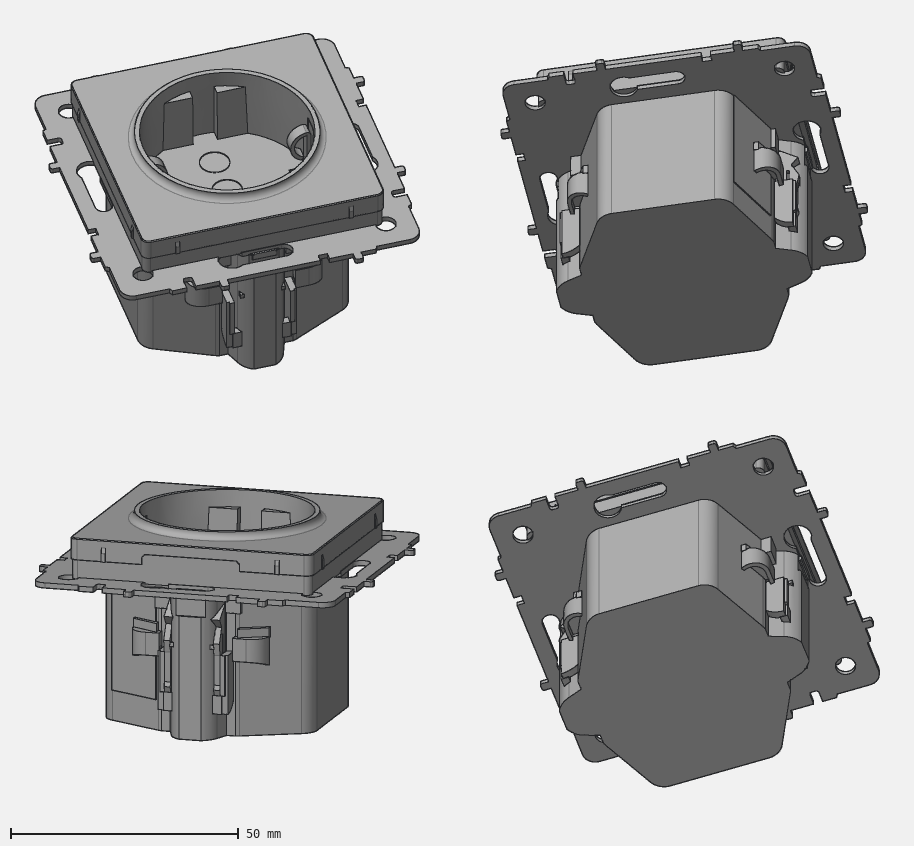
import cadquery as cq
import math

HOUSING_TOP = 33.55
PLATE_TOP = 34.75
SKIRT_TOP = 38.75
COVER_TOP = 43.7
TOTAL_HEIGHT = 45.45
FLOOR_LEVEL = 28.2
SHOULDER_LEVEL = 27.8
OVERLAP = 0.4

PLATE_SIZE = 74.4
TAB_REACH = PLATE_SIZE / 2
EDGE_REACH = 35.2
CORNER_REACH = 34.4
CORNER_RADIUS = 3.0
EDGE_HALF = 23.8
EDGE_BEVEL = 0.45
TAB_WIDTH = 1.85
TAB_ROUNDING = 0.5
NOTCH_WIDTH = 2.1
SHALLOW_NOTCH = 1.7
DEEP_NOTCH = 3.1
DEEP_NOTCH_ROUNDING = 0.6
INNER_STATION = 11.7
OUTER_STATION = 19.05
CORNER_HOLE_OFFSET = 27.9
CORNER_HOLE_DIAMETER = 4.5
SLOT_RADIUS = 1.9
SLOT_LINE = 29.6
SLOT_LEFT_END = -5.95
SLOT_HEAD_X = 7.8
SLOT_HEAD_Y = 29.0
SLOT_HEAD_RADIUS = 3.05

COVER_SIZE = 55.65
SKIRT_SIZE = 55.05
COVER_CORNER = 1.8
COVER_BEVEL = 0.2
FINGER_HALF = 11.2
FINGER_HEIGHT = 2.3
FINGER_BEVEL = 0.75
SNAP_OFFSET = 19.95
SNAP_WIDTH = 1.0
SNAP_REACH = 28.1
SNAP_SHOULDER = 40.7
SNAP_TOP = 41.9

RIM_BASE_RADIUS = 21.7
RIM_TOP_RADIUS = 20.4
WELL_RADIUS = 19.3
FLOOR_RADIUS = 19.05
GUIDE_FOOT = 16.4
GUIDE_CREST = 16.8
GUIDE_TOP = 41.6
GUIDE_GAP = 5.6
PIN_SPACING = 9.45
PIN_DIAMETER = 6.7
PIN_DEPTH = 0.2

CLIP_WINDOW_WIDTH = 4.3
CLIP_WINDOW_INNER = 14.9
CLIP_WINDOW_OUTER = 19.3
CLIP_WINDOW_TOP = 42.4
CLIP_WINDOW_DEPTH = 0.2
CLIP_WIDTH = 2.8
CLIP_THICKNESS = 0.9
CLIP_BACK = 18.8
CLIP_BEND_RADIUS = 1.05
CLIP_TOP = 41.5
CLIP_CREST = 14.1
CLIP_CREST_LEVEL = 37.6
CLIP_END_Y = 16.75
CLIP_END_LEVEL = 33.7

HOUSING_HALF_X = 28.1
HOUSING_HALF_Y = 24.1
NOSE_HALF = 2.5
NOSE_ROOT_X = 24.9
NOSE_ROOT_Y = 5.3
NOSE_MIDDLE = (26.8, 4.25)
FLANK_X = 21.4
FLANK_Y = 9.3
VALLEY_X = 21.7
VALLEY_START_Y = 6.5
VALLEY_END_Y = 8.5
FRONT_CORNER_X = 14.1
FRONT_CORNER_RADIUS = 4.25
RECESS_HALF = 3.4
RECESS_DEPTH = 0.6
LUG_WIDTH = 5.5
LUG_HEIGHT = 1.5
LUG_BEVEL = 0.3
PAD_THICKNESS = 0.2
PAD_BOTTOM = 6.85
PAD_START_Y = 9.8
PAD_END_Y = 21.8

POST_Y = (6.3, 9.8)
LEFT_POST_X = (-22.3, -20.8)
RIGHT_POST_X = (20.8, 23.5)
CLAW_X = (18.5, 23.8)
CLAW_Y = (8.4, 15.55)
CLAW_BEND_Y = 11.5
CLAW_WALL = 0.9
CLAW_HOLLOW_TOP = 19.35
CLAW_TOP = 22.55
CLAW_TIP_LEVEL = 15.8
CLAW_HEEL_LEVEL = 17.4
CLAW_BLOCK_TOP = 24.5
CLAW_BLOCK_START = (23.0, 9.3)
CLAW_BLOCK_END_X = 19.65
LEVER_X = (21.4, 25.8)
LEVER_Y = (6.4, 8.0)
LEVER_BOTTOM = 5.8
LEVER_TOP = 19.1
LEVER_HEEL_LEVEL = 8.3
LEVER_CURVE = (23.65, 6.4)
LEVER_FLANGE_X = 26.35
LEVER_FLANGE_Y = 7.45
FOOT_Y = (4.4, 6.7)
FOOT_X = (24.55, 26.3)
FOOT_TOP = 10.0
SPRING_Y = (5.0, 6.4)
SPRING_ROOT_X = 22.3
SPRING_EDGE = [(26.2, 10.0), (26.7, 11.3), (26.35, 12.35), (26.5, 19.1), (26.9, 21.8)]
HOOK_INNER_Y = 3.7
HOOK_THROAT = (25.2, 25.2)
HOOK_POINT = (26.7, 27.15)
HOOK_TOP = 30.1
SPRING_SLIT_X = (24.1, 24.7)
SPRING_SLIT_Z = (19.1, 23.5)
PEG_X = (25.45, 26.8)
PEG_Y = (4.0, 5.1)
PEG_Z = (20.45, 21.4)

SIGNS = (-1, 1)


def span_box(x_span, y_span, z_span):
    """Box between two coordinates along each axis."""
    sizes = [abs(span[1] - span[0]) for span in (x_span, y_span, z_span)]
    middle = tuple((span[0] + span[1]) / 2 for span in (x_span, y_span, z_span))
    return cq.Workplane("XY").box(*sizes).translate(middle)


def turn(shape, quarter_turns):
    """Turn a shape about the Z axis by whole quarter turns."""
    return shape.rotate((0, 0, 0), (0, 0, 1), 90 * quarter_turns)


def mirrored_y(shape):
    """A shape together with its mirror image across the XZ plane."""
    return shape.union(shape.mirror("XZ"))


def four_quadrants(shape):
    """A shape repeated in all four XY quadrants."""
    pair = mirrored_y(shape)
    return pair.union(pair.mirror("YZ"))


def make_plate():
    thickness = PLATE_TOP - HOUSING_TOP
    z_span = (HOUSING_TOP, PLATE_TOP)
    plate = cq.Workplane("XY").rect(2 * CORNER_REACH, 2 * CORNER_REACH).extrude(thickness)
    plate = plate.edges("|Z").fillet(CORNER_RADIUS).translate((0, 0, HOUSING_TOP))

    strip = (
        cq.Workplane("XY", origin=(0, 0, HOUSING_TOP))
        .moveTo(-EDGE_HALF, CORNER_REACH - OVERLAP)
        .lineTo(-EDGE_HALF, CORNER_REACH)
        .lineTo(-EDGE_HALF + EDGE_BEVEL, EDGE_REACH)
        .lineTo(EDGE_HALF - EDGE_BEVEL, EDGE_REACH)
        .lineTo(EDGE_HALF, CORNER_REACH)
        .lineTo(EDGE_HALF, CORNER_REACH - OVERLAP)
        .close()
        .extrude(thickness)
    )
    for station in (-OUTER_STATION, INNER_STATION):
        x_span = (station - TAB_WIDTH / 2, station + TAB_WIDTH / 2)
        tab = span_box(x_span, (CORNER_REACH, TAB_REACH), z_span)
        strip = strip.union(tab.edges("|Z and >Y").fillet(TAB_ROUNDING))

    shallow = span_box(
        (-INNER_STATION - NOTCH_WIDTH / 2, -INNER_STATION + NOTCH_WIDTH / 2),
        (EDGE_REACH - SHALLOW_NOTCH, TAB_REACH),
        z_span,
    )
    deep = span_box(
        (OUTER_STATION - NOTCH_WIDTH / 2, OUTER_STATION + NOTCH_WIDTH / 2),
        (EDGE_REACH - DEEP_NOTCH, TAB_REACH),
        z_span,
    ).edges("|Z and <Y").fillet(DEEP_NOTCH_ROUNDING)
    slot_length = SLOT_HEAD_X - SLOT_LEFT_END
    slot = (
        cq.Workplane("XY", origin=(0, 0, HOUSING_TOP))
        .center((SLOT_HEAD_X + SLOT_LEFT_END) / 2, SLOT_LINE)
        .slot2D(slot_length, 2 * SLOT_RADIUS)
        .extrude(thickness)
    )
    head = (
        cq.Workplane("XY", origin=(SLOT_HEAD_X, SLOT_HEAD_Y, HOUSING_TOP))
        .circle(SLOT_HEAD_RADIUS)
        .extrude(thickness)
    )
    openings = shallow.union(deep).union(slot).union(head)

    for quarter in range(4):
        plate = plate.union(turn(strip, quarter))
    for quarter in range(4):
        plate = plate.cut(turn(openings, quarter))
    corner_holes = (
        cq.Workplane("XY", origin=(0, 0, HOUSING_TOP))
        .rect(2 * CORNER_HOLE_OFFSET, 2 * CORNER_HOLE_OFFSET, forConstruction=True)
        .vertices()
        .circle(CORNER_HOLE_DIAMETER / 2)
        .extrude(thickness)
    )
    return plate.cut(corner_holes)


def make_cover():
    skirt = cq.Workplane("XY").rect(SKIRT_SIZE, SKIRT_SIZE).extrude(COVER_TOP - PLATE_TOP + OVERLAP)
    skirt = skirt.edges("|Z").fillet(COVER_CORNER - (COVER_SIZE - SKIRT_SIZE) / 2)
    skirt = skirt.translate((0, 0, PLATE_TOP - OVERLAP))
    cap = cq.Workplane("XY").rect(COVER_SIZE, COVER_SIZE).extrude(COVER_TOP - SKIRT_TOP)
    cap = cap.edges("|Z").fillet(COVER_CORNER).faces(">Z").chamfer(COVER_BEVEL)
    cap = cap.translate((0, 0, SKIRT_TOP))

    relief_depth = (COVER_SIZE - SKIRT_SIZE) / 2
    relief = span_box(
        (-COVER_SIZE / 2, -COVER_SIZE / 2 + relief_depth),
        (-FINGER_HALF, FINGER_HALF),
        (SKIRT_TOP, SKIRT_TOP + FINGER_HEIGHT),
    ).edges("|X and >Z").chamfer(FINGER_BEVEL)
    cover = cap.cut(relief).union(skirt)

    side = COVER_SIZE / 2
    rib = (
        cq.Workplane("YZ", origin=(-SNAP_WIDTH / 2, 0, 0))
        .moveTo(side - OVERLAP, SKIRT_TOP)
        .lineTo(SNAP_REACH, SKIRT_TOP)
        .lineTo(SNAP_REACH, SNAP_SHOULDER)
        .lineTo(side, SNAP_TOP)
        .lineTo(side - OVERLAP, SNAP_TOP)
        .close()
        .extrude(SNAP_WIDTH)
    )
    for quarter in range(4):
        for sign in SIGNS:
            cover = cover.union(turn(rib.translate((sign * SNAP_OFFSET, 0, 0)), quarter))

    rim_height = TOTAL_HEIGHT - COVER_TOP
    curve_dx = (RIM_BASE_RADIUS - RIM_TOP_RADIUS) * (1 - math.sqrt(0.5))
    curve_dz = rim_height * (1 - math.sqrt(0.5))
    rim = (
        cq.Workplane("XZ")
        .moveTo(0, COVER_TOP - OVERLAP)
        .lineTo(RIM_BASE_RADIUS, COVER_TOP - OVERLAP)
        .lineTo(RIM_BASE_RADIUS, COVER_TOP)
        .threePointArc((RIM_TOP_RADIUS + curve_dx, COVER_TOP + curve_dz), (RIM_TOP_RADIUS, TOTAL_HEIGHT))
        .lineTo(0, TOTAL_HEIGHT)
        .close()
        .revolve(360, (0, 0, 0), (0, 1, 0))
    )
    return cover.union(rim)


def make_well():
    """The hollow that receives the plug, with its four guide blocks left standing."""
    well = cq.Workplane(
        cq.Solid.makeCone(
            FLOOR_RADIUS,
            WELL_RADIUS,
            TOTAL_HEIGHT - FLOOR_LEVEL,
            pnt=cq.Vector(0, 0, FLOOR_LEVEL),
        )
    )
    guide = (
        cq.Workplane("XZ", origin=(0, GUIDE_GAP / 2, 0))
        .moveTo(GUIDE_FOOT, FLOOR_LEVEL)
        .lineTo(WELL_RADIUS, FLOOR_LEVEL)
        .lineTo(WELL_RADIUS, GUIDE_TOP)
        .lineTo(GUIDE_CREST, GUIDE_TOP)
        .close()
        .extrude(-WELL_RADIUS)
    )
    well = well.cut(four_quadrants(guide))
    pins = (
        cq.Workplane("XY", origin=(0, 0, FLOOR_LEVEL - PIN_DEPTH))
        .pushPoints([(step * PIN_SPACING, 0) for step in (-1, 0, 1)])
        .circle(PIN_DIAMETER / 2)
        .extrude(PIN_DEPTH)
    )
    window = span_box(
        (-CLIP_WINDOW_WIDTH / 2, CLIP_WINDOW_WIDTH / 2),
        (CLIP_WINDOW_INNER, CLIP_WINDOW_OUTER),
        (FLOOR_LEVEL - CLIP_WINDOW_DEPTH, CLIP_WINDOW_TOP),
    )
    return well.union(pins).union(mirrored_y(window))


def make_clips():
    """Earth strips that rise along the wall and bow over into the well."""
    foot = FLOOR_LEVEL - CLIP_WINDOW_DEPTH - OVERLAP
    bend_y = CLIP_BACK - CLIP_BEND_RADIUS
    bend_z = CLIP_TOP - CLIP_BEND_RADIUS
    bend_mid = CLIP_BEND_RADIUS * math.sqrt(0.5)
    clip = (
        cq.Workplane("YZ", origin=(-CLIP_WIDTH / 2, 0, 0))
        .moveTo(CLIP_BACK, foot)
        .lineTo(CLIP_BACK, bend_z)
        .threePointArc((bend_y + bend_mid, bend_z + bend_mid), (bend_y, CLIP_TOP))
        .threePointArc((CLIP_CREST, CLIP_CREST_LEVEL), (CLIP_END_Y, CLIP_END_LEVEL))
        .lineTo(CLIP_END_Y + CLIP_THICKNESS / 2, CLIP_END_LEVEL + CLIP_THICKNESS)
        .threePointArc(
            (CLIP_CREST + CLIP_THICKNESS, CLIP_CREST_LEVEL),
            (CLIP_BACK - CLIP_THICKNESS, CLIP_TOP - CLIP_THICKNESS),
        )
        .lineTo(CLIP_BACK - CLIP_THICKNESS, foot)
        .close()
        .extrude(CLIP_WIDTH)
    )
    return mirrored_y(clip)


def make_housing():
    quarter = (
        cq.Workplane("XY")
        .moveTo(0, 0)
        .lineTo(HOUSING_HALF_X, 0)
        .lineTo(HOUSING_HALF_X, NOSE_HALF)
        .threePointArc(NOSE_MIDDLE, (NOSE_ROOT_X, NOSE_ROOT_Y))
        .lineTo(VALLEY_X, VALLEY_START_Y)
        .lineTo(VALLEY_X, VALLEY_END_Y)
        .lineTo(FLANK_X, FLANK_Y)
        .lineTo(FRONT_CORNER_X, HOUSING_HALF_Y)
        .lineTo(0, HOUSING_HALF_Y)
        .close()
        .extrude(HOUSING_TOP + OVERLAP)
    )
    corner = cq.selectors.NearestToPointSelector((FRONT_CORNER_X, HOUSING_HALF_Y, HOUSING_TOP / 2))
    quarter = quarter.edges(corner).fillet(FRONT_CORNER_RADIUS)
    housing = four_quadrants(quarter)

    recess_floor = HOUSING_HALF_X - RECESS_DEPTH
    for sign in SIGNS:
        recess = span_box(
            (sign * recess_floor, sign * HOUSING_HALF_X),
            (-RECESS_HALF, RECESS_HALF),
            (SHOULDER_LEVEL, HOUSING_TOP),
        )
        lug = span_box(
            (sign * (recess_floor - OVERLAP), sign * HOUSING_HALF_X),
            (-LUG_WIDTH / 2, LUG_WIDTH / 2),
            (HOUSING_TOP - LUG_HEIGHT, HOUSING_TOP),
        )
        lug_edge = "|Y and <Z and >X" if sign > 0 else "|Y and <Z and <X"
        housing = housing.cut(recess).union(lug.edges(lug_edge).chamfer(LUG_BEVEL))
    return housing.union(make_pad())


def make_pad():
    """Thin raised panel on the slanted flank facing -X and +Y."""
    run_x = FLANK_X - FRONT_CORNER_X
    run_y = HOUSING_HALF_Y - FLANK_Y
    run = math.hypot(run_x, run_y)
    normal = (-run_y / run, run_x / run)

    def flank_point(y, offset):
        x = -FLANK_X + (y - FLANK_Y) * run_x / run_y
        return (x + normal[0] * offset, y + normal[1] * offset)

    return (
        cq.Workplane("XY", origin=(0, 0, PAD_BOTTOM))
        .polyline([
            flank_point(PAD_START_Y, -OVERLAP),
            flank_point(PAD_START_Y, PAD_THICKNESS),
            flank_point(PAD_END_Y, PAD_THICKNESS),
            flank_point(PAD_END_Y, -OVERLAP),
        ])
        .close()
        .extrude(HOUSING_TOP - PAD_BOTTOM)
    )


def make_claw():
    """Curved spreading claw of the +X, +Y quadrant with the block on top of it."""
    inner_x, outer_x = CLAW_X
    start_y, tip_y = CLAW_Y
    centre_x = outer_x - (tip_y - CLAW_BEND_Y)

    def leaf(inset, top):
        """Straight side running into a round bend, set in from the outer face."""
        radius = tip_y - CLAW_BEND_Y - inset
        diagonal = radius * math.sqrt(0.5)
        end_y = CLAW_BEND_Y + math.sqrt(radius**2 - (centre_x - inner_x) ** 2)
        return (
            cq.Workplane("XY", origin=(0, 0, CLAW_TIP_LEVEL))
            .moveTo(inner_x, start_y)
            .lineTo(outer_x - inset, start_y)
            .lineTo(outer_x - inset, CLAW_BEND_Y)
            .threePointArc((centre_x + diagonal, CLAW_BEND_Y + diagonal), (inner_x, end_y))
            .close()
            .extrude(top - CLAW_TIP_LEVEL)
        )

    claw = leaf(0, CLAW_TOP).cut(leaf(CLAW_WALL, CLAW_HOLLOW_TOP))
    under = (
        cq.Workplane("XZ")
        .polyline([(inner_x, CLAW_TIP_LEVEL), (outer_x, CLAW_TIP_LEVEL), (outer_x, CLAW_HEEL_LEVEL)])
        .close()
        .extrude(-HOUSING_HALF_Y)
    )
    block = (
        cq.Workplane("XY", origin=(0, 0, CLAW_TOP - OVERLAP))
        .moveTo(inner_x, CLAW_BLOCK_START[1])
        .lineTo(*CLAW_BLOCK_START)
        .lineTo(CLAW_BLOCK_END_X, tip_y)
        .lineTo(inner_x, tip_y)
        .close()
        .extrude(CLAW_BLOCK_TOP - CLAW_TOP + OVERLAP)
    )
    return claw.cut(under).union(block)


def make_lever():
    """Release lever below the claw, with its flange, foot and peg."""
    inner_x, outer_x = LEVER_X
    lever = (
        cq.Workplane("XZ", origin=(0, LEVER_Y[0], 0))
        .moveTo(inner_x, LEVER_TOP)
        .lineTo(outer_x, LEVER_TOP)
        .lineTo(outer_x, LEVER_BOTTOM)
        .threePointArc(LEVER_CURVE, (inner_x, LEVER_HEEL_LEVEL))
        .close()
        .extrude(LEVER_Y[0] - LEVER_Y[1])
    )
    flange = span_box((FOOT_X[0], LEVER_FLANGE_X), (LEVER_Y[0], LEVER_FLANGE_Y), (FOOT_TOP, LEVER_TOP))
    foot = span_box(FOOT_X, FOOT_Y, (LEVER_BOTTOM, FOOT_TOP))
    peg = span_box(PEG_X, PEG_Y, PEG_Z)
    return lever.union(flange).union(foot).union(peg)


def make_posts():
    """Short posts hanging from the plate over the valleys of the housing."""
    z_span = (SHOULDER_LEVEL, HOUSING_TOP + OVERLAP)
    left = span_box(LEFT_POST_X, POST_Y, z_span)
    right = span_box(RIGHT_POST_X, POST_Y, z_span)
    return mirrored_y(left.union(right))


def spring_piece(edge, y_span):
    """Slab with the given outline, its points measured outward along -X and up along Z."""
    return (
        cq.Workplane("XZ", origin=(0, y_span[0], 0))
        .polyline([(-x, z) for x, z in edge])
        .close()
        .extrude(y_span[0] - y_span[1])
    )


def make_springs():
    """Hooked leaf springs with a short slit, on the -X side."""
    slit_x = (-SPRING_SLIT_X[1], -SPRING_SLIT_X[0])
    slit = span_box(slit_x, SPRING_Y, SPRING_SLIT_Z)
    strip_edge = SPRING_EDGE + [HOOK_THROAT, (SPRING_ROOT_X, HOOK_THROAT[1])]
    strip = spring_piece([(SPRING_ROOT_X, SPRING_EDGE[0][1])] + strip_edge, SPRING_Y)
    hook_edge = [
        (SPRING_ROOT_X, HOOK_THROAT[1]),
        HOOK_THROAT,
        HOOK_POINT,
        (SPRING_ROOT_X, HOOK_TOP),
    ]
    hook = spring_piece(hook_edge, (HOOK_INNER_Y, SPRING_Y[1]))
    return mirrored_y(strip.cut(slit).union(hook))


result = make_housing().union(make_posts()).union(make_springs())
result = result.union(four_quadrants(make_claw())).union(four_quadrants(make_lever()))
result = result.union(make_plate()).union(make_cover())
result = result.cut(make_well()).union(make_clips())